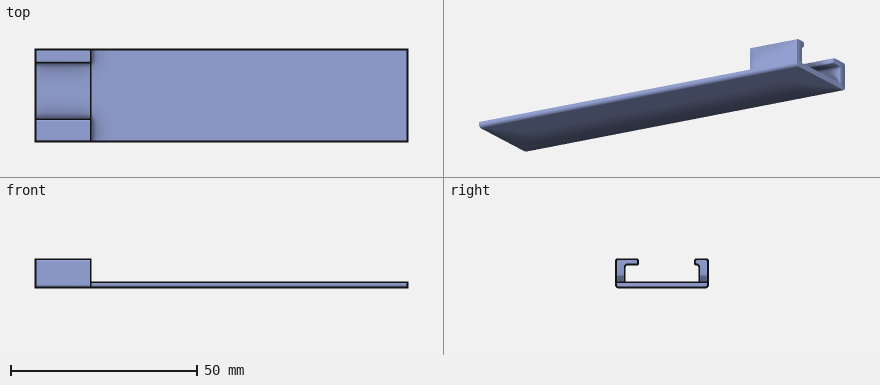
import cadquery as cq

total_length = 100.0
width = 24.8
height = 7.7

channel_length = 14.9
floor_thickness = 1.5
wall_thickness = 2.4
lip_thickness = 1.5
wide_lip_reach = 6.0
narrow_lip_reach = 3.6

bottom_radius = 0.9
top_radius = 0.6
tip_upper_radius = 0.6
tip_lower_radius = 0.4
lip_root_radius = 0.7

half_width = width / 2
plate_length = total_length - channel_length


def rounded_bar(start, length, bar_height):
    """Full-width bar along X, with its two long bottom edges rounded."""
    bar = cq.Workplane("XY").box(length, width, bar_height, centered=(False, True, False))
    return bar.edges("|X and <Z").fillet(bottom_radius).translate((start, 0, 0))


def make_channel():
    """C-shaped channel with a wide lip on the -Y side and a narrow lip on the +Y side."""
    channel = rounded_bar(0, channel_length, height).edges("|X and >Z").fillet(top_radius)

    cavity_height = height - floor_thickness - lip_thickness
    cavity = (
        cq.Workplane("XY", origin=(0, 0, floor_thickness))
        .box(channel_length, width - 2 * wall_thickness, cavity_height, centered=(False, True, False))
        .edges("|X and >Z")
        .fillet(lip_root_radius)
    )

    opening_width = width - wide_lip_reach - narrow_lip_reach
    opening = (
        cq.Workplane("XY", origin=(0, wide_lip_reach - half_width, floor_thickness))
        .box(channel_length, opening_width, height - floor_thickness, centered=False)
    )
    channel = channel.cut(cavity).cut(opening)

    lip_underside = height - lip_thickness
    for edge_height, radius in ((height, tip_upper_radius), (lip_underside, tip_lower_radius)):
        margin = radius / 2
        tip_edges = cq.selectors.BoxSelector(
            (0, wide_lip_reach - half_width - margin, edge_height - margin),
            (channel_length, half_width - narrow_lip_reach + margin, edge_height + margin),
        )
        channel = channel.edges("|X").edges(tip_edges).fillet(radius)
    return channel.solids()


def make_plate():
    """Flat plate that continues the channel floor to the far end."""
    return rounded_bar(channel_length, plate_length, floor_thickness)


channel = make_channel()
plate = make_plate()

result = cq.Compound.makeCompound([channel.val(), plate.val()])